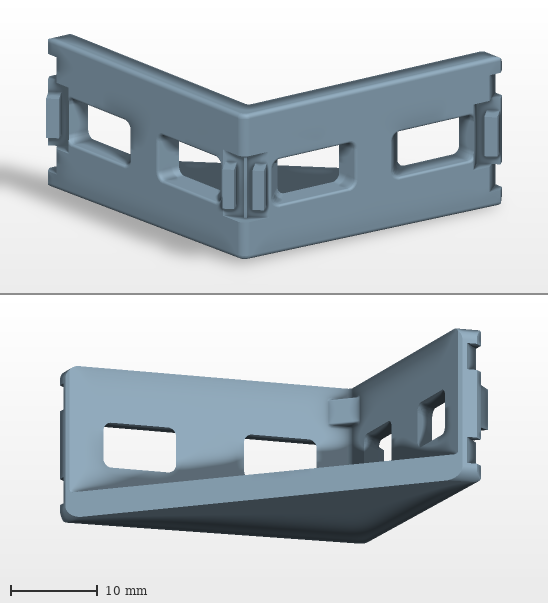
import cadquery as cq
import math

LEG = 38.0
WALL = 3.0
HEIGHT = 18.0
MID_Z = HEIGHT / 2
MIRROR_NORMAL = cq.Vector(1, 1, 0)
BIG = 2 * LEG
MARGIN = 0.05

TIP_CHAMFER = 0.83
TIP_INNER = 2.6
TIP_ROUND = 1.5
CORNER_ROUND = 1.0
RIM_ROUND = 0.5
INNER_CORNER_ROUND = 0.5
FLOOR_ROUND = 0.3
DRAFT = math.radians(1)

SLOT_LENGTH = 8.93
SLOT_HEIGHT = 5.3
SLOT_ROUND = 1.0
SLOT_PITCH = 17.3
SLOT_COUNT = 2
SLOT_FIRST = 11.7
SLOT_RIM_ROUND = 0.3
SLOT_DRAFT = math.radians(2)

BLOCK_REACH = 5.85
BLOCK_BOTTOM = 13.5
BLOCK_HEIGHT = 3.0
BLOCK_BLEND = 0.3
BLOCK_EDGE_ROUND = 0.2

TAB_PROTRUSION = 1.5
TAB_ROOT_HEIGHT = 5.05
TAB_TIP_HEIGHT = 4.75
RECESS_HEIGHT = 7.98
CORNER_CUT = 3.8
CORNER_TAB_NEAR = 1.5
CORNER_TAB_FAR = 3.4
RIB_HALF = 0.255
RIB_RISE = 0.67
GROOVE_WIDTH = 3.95
TIP_TAB_INSET = 0.1
TIP_TAB_WIDTH = 2.15
TIP_POCKET_HEIGHT = 14.15
TIP_POCKET_LENGTH = 2.45
TIP_POCKET_DEPTH = 2.05


def mirrored(shape):
    """Copy of a shape for the other leg."""
    return shape.mirror(MIRROR_NORMAL)


def with_mirror(shape):
    return shape.union(mirrored(shape))


def prism(points, height):
    """Vertical prism centred at mid height."""
    return cq.Workplane("XY").workplane(offset=MID_Z - height / 2).polyline(points).close().extrude(height)


def below_drafted_plane(z_at_long_edge):
    """Block below a plane that rises by DRAFT from the long edge towards the corner."""
    middle = (LEG + TIP_INNER) / 2
    side = math.sin(DRAFT) / math.sqrt(2)
    plane = cq.Plane(
        origin=(-middle, middle, z_at_long_edge),
        xDir=(1, 1, 0),
        normal=(-side, side, math.cos(DRAFT)),
    )
    return cq.Workplane(plane).rect(2 * BIG, 2 * BIG).extrude(-BIG)


def make_pocket():
    """Space above the gusset, between the legs, with rounded inner corner and floor edges."""
    pocket = (
        cq.Workplane("XY")
        .polyline([(-WALL, WALL), (-WALL, BIG), (-BIG, BIG), (-BIG, WALL)])
        .close()
        .extrude(BIG)
    )
    pocket = pocket.edges(cq.NearestToPointSelector((-WALL, WALL, LEG))).fillet(INNER_CORNER_ROUND)
    pocket = pocket.cut(below_drafted_plane(WALL))
    walls_bottom = cq.selectors.BoxSelector((-LEG, 0, 0), (0, LEG, HEIGHT / 2))
    return pocket.edges(walls_bottom).fillet(FLOOR_ROUND)


def make_body():
    """Legs and gusset, with all their roundings and draft."""
    half = [(0, 0), (0, LEG - TIP_CHAMFER), (-TIP_CHAMFER, LEG), (-TIP_INNER, LEG)]
    other_half = [(-y, -x) for x, y in reversed(half[1:])]
    body = cq.Workplane("XY").polyline(half + other_half).close().extrude(HEIGHT)
    body = body.edges(cq.NearestToPointSelector((0, 0, MID_Z))).fillet(CORNER_ROUND)
    body = body.cut(below_drafted_plane(0))
    outer_edges = body.faces(">X").edges("not |Z").add(body.faces("<Y").edges("not |Z"))
    body = outer_edges.fillet(RIM_ROUND)
    body = body.cut(make_pocket())
    rounded_tip = (
        cq.Workplane("XZ")
        .center(0, MID_Z)
        .rect(2 * LEG, HEIGHT)
        .extrude(BIG, both=True)
        .edges("|Y")
        .fillet(TIP_ROUND)
    )
    return body.intersect(rounded_tip).intersect(mirrored(rounded_tip))


def slot_outline(center_x, y, growth):
    """Rounded slot outline at depth y in the -X leg, enlarged by growth on every side."""
    blank = cq.Workplane("XZ", origin=(center_x, y, MID_Z))
    blank = blank.rect(SLOT_LENGTH + 2 * growth, SLOT_HEIGHT + 2 * growth).extrude(WALL)
    return blank.edges("|Y").fillet(SLOT_ROUND).faces(">Y").wires().val()


def make_slot(distance):
    """Slot through the -X leg; its end nearest the corner is flared at 45 degrees to the outside."""
    growth = WALL * math.tan(SLOT_DRAFT)
    inside = slot_outline(-distance, WALL, 0)
    straight = cq.Solid.makeLoft([inside, slot_outline(-distance, 0, growth)], True)
    slanted = cq.Solid.makeLoft([inside, slot_outline(-distance + WALL, 0, growth)], True)
    return cq.Workplane(straight).union(cq.Workplane(slanted))


def rim_zones():
    """Selection boxes around the outer slot rims of the two legs."""
    near = CORNER_ROUND + RIM_ROUND
    far = LEG - TIP_INNER
    low = MID_Z - SLOT_HEIGHT
    high = MID_Z + SLOT_HEIGHT
    return [
        cq.selectors.BoxSelector((-far, -MARGIN, low), (-near, MARGIN, high)),
        cq.selectors.BoxSelector((-MARGIN, near, low), (MARGIN, far, high)),
    ]


def add_slots(body):
    """Screw slots through both legs, rounded at their outer rims."""
    for index in range(SLOT_COUNT):
        slot = make_slot(SLOT_FIRST + index * SLOT_PITCH)
        body = body.cut(slot).cut(mirrored(slot))
    for zone in rim_zones():
        body = body.edges(zone).fillet(SLOT_RIM_ROUND)
    return body


def add_corner_block(body):
    """Small gusset block between the inner faces of the legs, blended into them."""
    outline = [
        (-BLOCK_REACH, WALL),
        (-WALL, BLOCK_REACH),
        (-WALL / 2, WALL / 2),
    ]
    block = cq.Workplane("XY").workplane(offset=BLOCK_BOTTOM).polyline(outline).close().extrude(BLOCK_HEIGHT)
    mid_reach = (BLOCK_REACH + WALL) / 2
    block_top = BLOCK_BOTTOM + BLOCK_HEIGHT
    for z in (BLOCK_BOTTOM, block_top):
        block = block.edges(cq.NearestToPointSelector((-mid_reach, mid_reach, z))).fillet(BLOCK_EDGE_ROUND)
    blend_zone = cq.selectors.BoxSelector(
        (-BLOCK_REACH - MARGIN, WALL - MARGIN, BLOCK_BOTTOM - MARGIN),
        (-WALL + MARGIN, BLOCK_REACH + MARGIN, block_top + MARGIN),
    )
    slanted = cq.selectors.ParallelDirSelector(cq.Vector(1, 1, 0))
    return body.union(block).edges(blend_zone - slanted).fillet(BLOCK_BLEND)


def diagonal_point(u, v):
    """Point with x + y = u and x - y = v."""
    return ((u + v) / 2, (u - v) / 2)


def make_tab(u_near, u_far, v_base):
    """Tab standing square on the diagonal face x - y = v_base, getting lower towards its tip."""
    length = (u_near + 2 * TAB_PROTRUSION - v_base) / math.sqrt(2)
    thickness = (u_far - u_near) / math.sqrt(2)
    root_x, root_y = diagonal_point(u_near, v_base)
    side = cq.Plane(origin=(root_x, root_y, MID_Z), xDir=(1, -1, 0), normal=(1, 1, 0))
    root = TAB_ROOT_HEIGHT / 2
    tip = TAB_TIP_HEIGHT / 2
    outline = [(0, -root), (length, -tip), (length, tip), (0, root)]
    return cq.Workplane(side).polyline(outline).close().extrude(thickness)


def add_corner_tabs(body):
    """Flat cut across the outer corner, carrying a central rib and a tab on each side of it."""
    body = body.cut(prism([(-CORNER_CUT, 0), (0, CORNER_CUT), (0, 0)], RECESS_HEIGHT))
    face = -CORNER_CUT
    rib_top = face + RIB_RISE * math.sqrt(2)
    rib_corners = [(-RIB_HALF, face), (-RIB_HALF, rib_top), (RIB_HALF, rib_top), (RIB_HALF, face)]
    body = body.union(prism([diagonal_point(u, v) for u, v in rib_corners], RECESS_HEIGHT))
    return body.union(with_mirror(make_tab(-CORNER_TAB_FAR, -CORNER_TAB_NEAR, face)))


def add_tip_tabs(body):
    """Pockets and a V groove at each leg tip; the tab stands on the outer side of the groove."""
    tip_edge = -LEG + TIP_CHAMFER
    pocket_corners = [(-LEG + TIP_POCKET_LENGTH, 0), (-LEG, TIP_POCKET_DEPTH), (-LEG, 0)]
    pocket = prism(pocket_corners, TIP_POCKET_HEIGHT).cut(prism(pocket_corners, RECESS_HEIGHT))
    half_width = GROOVE_WIDTH / 2
    groove_corners = [(tip_edge, 0), (tip_edge + half_width, half_width), (tip_edge + GROOVE_WIDTH, 0)]
    groove = prism(groove_corners, RECESS_HEIGHT)
    tab_near = tip_edge + TIP_TAB_INSET
    tab = make_tab(tab_near, tab_near + TIP_TAB_WIDTH, tip_edge)
    body = body.cut(with_mirror(pocket)).cut(with_mirror(groove))
    return body.union(with_mirror(tab))


result = make_body()
result = add_slots(result)
result = add_corner_block(result)
result = add_corner_tabs(result)
result = add_tip_tabs(result)